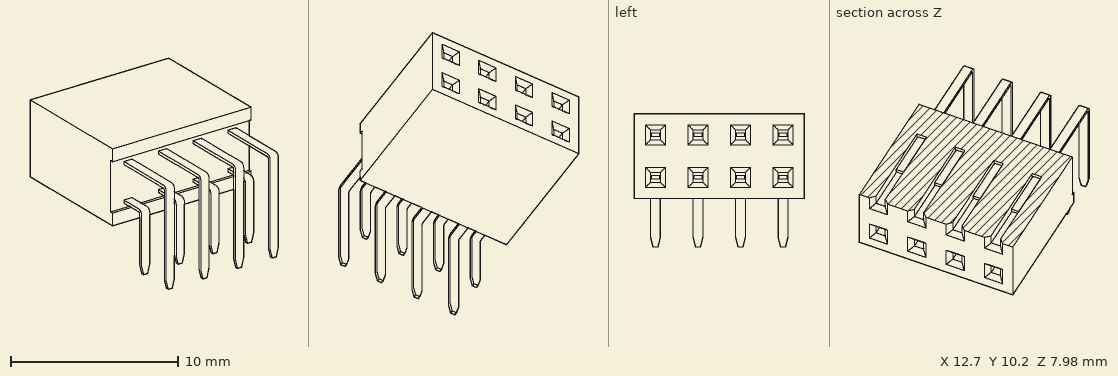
import cadquery as cq

pitch = 2.54
columns = 4
rows = 2
housing_length = 8.5
housing_width = columns * pitch
housing_height = rows * pitch

recess_depth = 0.2
lip_height = 0.85

funnel_opening = 1.2
socket_size = 0.6
funnel_depth = (funnel_opening - socket_size) / 2
socket_depth = 6.0

strip_thickness = 0.2
strip_width = 0.6
blade_width = 0.5
blade_start = 3.0
overall_length = 12.67
overall_height = 7.98
bend_outer_radius = 0.3
bend_inner_radius = bend_outer_radius - strip_thickness
tip_length = 0.6
tip_width = 0.3

pin_bottom = housing_height - overall_height
recess_floor = housing_length - recess_depth


def column_y(column):
    """Y position of a contact column, centred on the housing."""
    return (column - (columns - 1) / 2) * pitch


def row_z(row):
    """Z position of a contact row, counted from the bottom."""
    return (row + 0.5) * pitch


def make_housing():
    """Block with a recess running the full width of its rear face."""
    block = cq.Workplane("XY").box(
        housing_length, housing_width, housing_height, centered=(False, True, False)
    )
    recess = (
        cq.Workplane("XY")
        .box(
            recess_depth,
            housing_width,
            housing_height - 2 * lip_height,
            centered=(False, True, False),
        )
        .translate((recess_floor, 0, lip_height))
    )
    return block.cut(recess)


def make_socket(y, z):
    """Square blind hole with a funnel-shaped entry, cut from the front face."""
    entry = cq.Workplane("YZ", origin=(0, y, z))
    funnel = (
        entry.rect(funnel_opening, funnel_opening)
        .workplane(offset=funnel_depth)
        .rect(socket_size, socket_size)
        .loft(ruled=True)
    )
    hole = entry.rect(socket_size, socket_size).extrude(socket_depth)
    return funnel.union(hole)


def make_blade(y, z):
    """Mating end of a contact, standing inside its socket."""
    return (
        cq.Workplane("YZ", origin=(blade_start, y, z))
        .rect(blade_width, strip_thickness)
        .extrude(socket_depth - blade_start)
    )


def make_tip_cut(leg_inner_x, y, side):
    """Wedge removed from one edge of a leg tip; side is -1 or 1 along Y."""
    return (
        cq.Workplane("YZ", origin=(leg_inner_x, y, 0))
        .moveTo(side * strip_width / 2, pin_bottom)
        .lineTo(side * tip_width / 2, pin_bottom)
        .lineTo(side * strip_width / 2, pin_bottom + tip_length)
        .close()
        .extrude(strip_thickness)
    )


def make_tail(y, row):
    """Right-angle solder tail with a tapered tip, rooted at the socket floor."""
    top_z = row_z(row) + strip_thickness / 2
    leg_outer_x = overall_length - (rows - 1 - row) * pitch
    leg_inner_x = leg_outer_x - strip_thickness
    bottom_z = top_z - strip_thickness
    bend_x = leg_outer_x - bend_outer_radius
    bend_z = top_z - bend_outer_radius

    strip = (
        cq.Workplane("XZ", origin=(0, y, 0))
        .moveTo(socket_depth, top_z)
        .lineTo(bend_x, top_z)
        .radiusArc((leg_outer_x, bend_z), bend_outer_radius)
        .lineTo(leg_outer_x, pin_bottom)
        .lineTo(leg_inner_x, pin_bottom)
        .lineTo(leg_inner_x, bend_z)
        .radiusArc((bend_x, bottom_z), -bend_inner_radius)
        .lineTo(socket_depth, bottom_z)
        .close()
        .extrude(strip_width / 2, both=True)
    )

    return strip.cut(make_tip_cut(leg_inner_x, y, -1)).cut(make_tip_cut(leg_inner_x, y, 1))


result = make_housing()
for column in range(columns):
    for row in range(rows):
        contact_y = column_y(column)
        contact_z = row_z(row)
        result = result.cut(make_socket(contact_y, contact_z))
        result = result.union(make_blade(contact_y, contact_z))
        result = result.union(make_tail(contact_y, row))